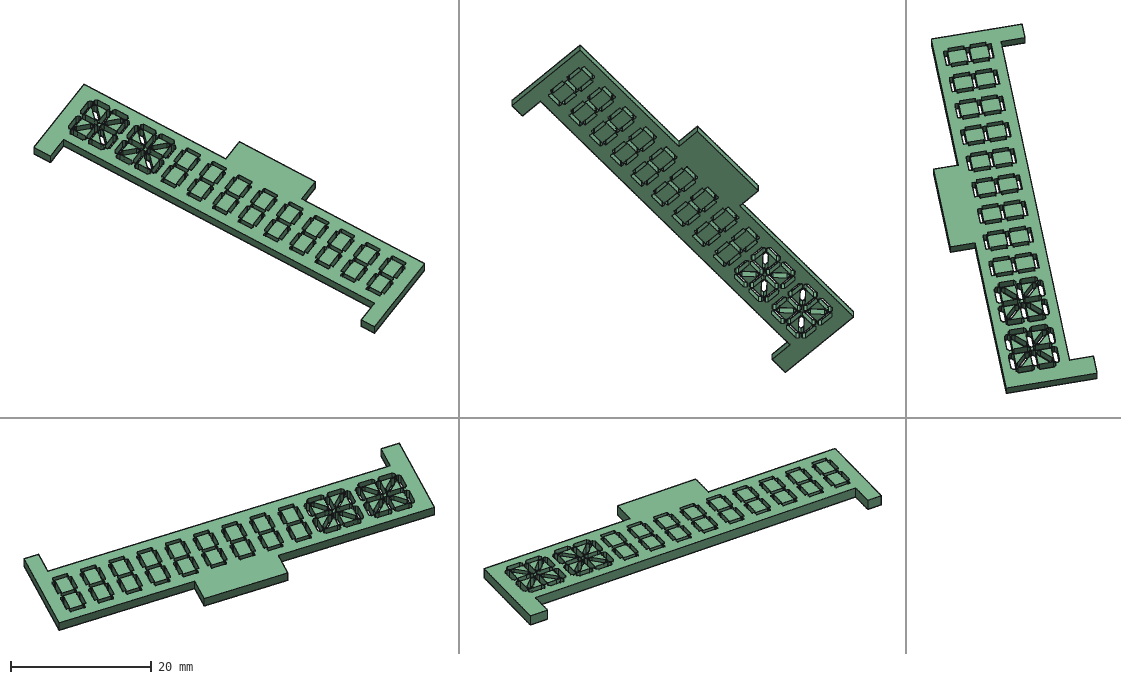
import cadquery as cq

plate_length = 57.95
total_depth = 16.8
thickness = 1.6
leg_depth = 3.5
left_leg_width = 2.85
right_leg_width = 2.25
tab_left = 24.1
tab_right = 37.05
tab_depth = 3.6
body_back = total_depth - tab_depth
display_y = 8.4

starburst_centers = (5.7, 13.55)
starburst_pitch = 3.15
starburst_bar_length = 2.6
starburst_bar_width = 0.8
starburst_bar_chamfer = 0.3
diagonal_box = 1.95
diagonal_cut = 0.55

digit_count = 9
first_digit_x = 19.6
last_digit_x = 54.5
digit_pitch = (last_digit_x - first_digit_x) / (digit_count - 1)
digit_column_pitch = 2.5
digit_row_pitch = 3.2
digit_bar_width = 0.55
digit_bar_length = 2.3
digit_bar_chamfer = 0.05


def bar(x, y, length, width, chamfer, upright):
    """Straight segment with its four corners cut at 45 degrees."""
    size_x, size_y = (width, length) if upright else (length, width)
    blank = cq.Workplane("XY").center(x, y).rect(size_x, size_y).extrude(thickness)
    return blank.edges("|Z").chamfer(chamfer).val()


def diagonal(x, y, slope):
    """Slanted segment that fills two opposite corners of its cell; slope is +1 or -1."""
    edge = diagonal_box / 2
    inner = edge - diagonal_cut
    outline = [(-edge, -edge), (-inner, -edge), (edge, inner), (edge, edge), (inner, edge), (-edge, -inner)]
    placed = [(x + u, y + slope * v) for u, v in outline]
    return cq.Workplane("XY").polyline(placed).close().extrude(thickness).val()


def starburst(x):
    """Through cuts of one starburst character centred at x."""
    size = (starburst_bar_length, starburst_bar_width, starburst_bar_chamfer)
    cutters = []
    for side in (-0.5, 0.5):
        along = side * starburst_pitch
        for step in (-1, 0, 1):
            across = step * starburst_pitch
            cutters.append(bar(x + along, display_y + across, *size, upright=False))
            cutters.append(bar(x + across, display_y + along, *size, upright=True))
    for column in (-1, 1):
        for row in (-1, 1):
            cell_x = x + column * starburst_pitch / 2
            cell_y = display_y + row * starburst_pitch / 2
            cutters.append(diagonal(cell_x, cell_y, column * row))
    return cutters


def seven_segment(x):
    """Through cuts of one seven-segment digit centred at x."""
    size = (digit_bar_length, digit_bar_width, digit_bar_chamfer)
    cutters = []
    for row in (-1, 0, 1):
        cutters.append(bar(x, display_y + row * digit_row_pitch, *size, upright=False))
    for column in (-0.5, 0.5):
        for row in (-0.5, 0.5):
            bar_x = x + column * digit_column_pitch
            bar_y = display_y + row * digit_row_pitch
            cutters.append(bar(bar_x, bar_y, *size, upright=True))
    return cutters


def plate():
    """Solid plate with its tab and legs, front left corner at the origin."""
    right_leg_left = plate_length - right_leg_width
    outline = [
        (0, 0),
        (left_leg_width, 0),
        (left_leg_width, leg_depth),
        (right_leg_left, leg_depth),
        (right_leg_left, 0),
        (plate_length, 0),
        (plate_length, body_back),
        (tab_right, body_back),
        (tab_right, total_depth),
        (tab_left, total_depth),
        (tab_left, body_back),
        (0, body_back),
    ]
    return cq.Workplane("XY").polyline(outline).close().extrude(thickness)


windows = []
for center_x in starburst_centers:
    windows += starburst(center_x)
for index in range(digit_count):
    windows += seven_segment(first_digit_x + index * digit_pitch)

result = cq.Workplane("XY").newObject([plate().val().cut(*windows)])